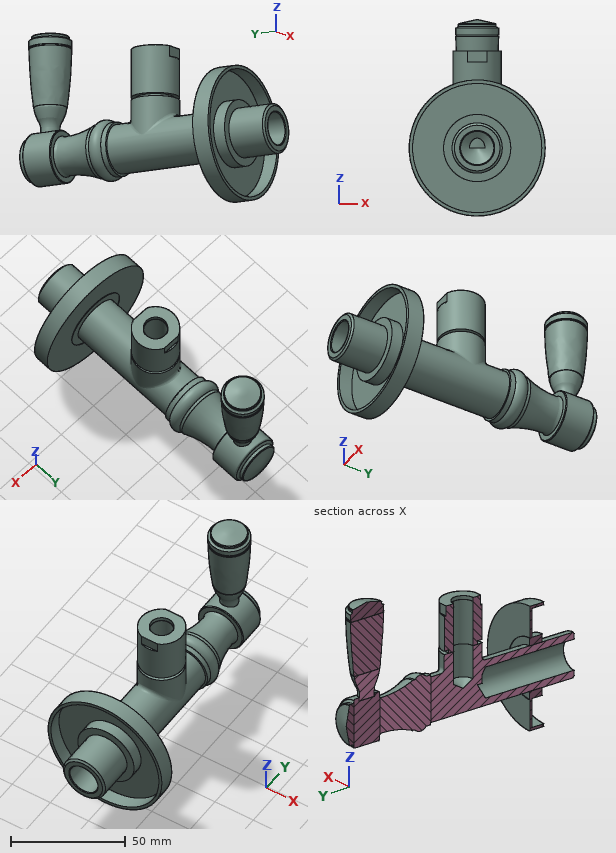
import cadquery as cq
import math


total_length = 128.0
drill_half_angle = math.radians(59)

pipe_radius = 11.0
pipe_length = 80.5
inlet_chamfer_length = 0.8
inlet_chamfer_depth = 1.0
inlet_bore_radius = 7.3
inlet_bore_depth = 49.8
inlet_mouth_chamfer = 0.4
branch_y = 62.3
branch_radius = 10.8
branch_top_z = 19.6
branch_fillet = 1.7

outlet_neck_radius = 8.3
outlet_neck_height = 1.4
outlet_radius = 10.6
outlet_top_z = 42.5
outlet_bore_radius = 5.2
outlet_bore_end_z = 3.8
outlet_mouth_radius = 5.4
outlet_mouth_depth = 1.8
outlet_flat_offset = 9.7
outlet_flat_height = 4.7

rosette_radius = 29.8
rosette_rim_thickness = 1.5
rosette_rear_y = 17.2
rosette_depth = 7.9
rosette_plate_thickness = 1.5
rosette_hub_radius = 14.7
rosette_hub_length = 5.6
rosette_hub_step = 0.3

collar_radius = 12.0
collar_length = 2.5
bead_radius = 13.6
bead_length = 6.3
shoulder_length = 1.4
bell_length = 16.9
bell_large_radius = 11.8
bell_rim_chamfer = 0.5
bell_small_radius = 8.6
cove_length = 1.5
cove_radius = 9.1
cove_sag = 0.3

hub_radius = 11.8
hub_length = 14.3
hub_rim_fillet = 0.6
hub_rear_chamfer = 0.4
hub_cap_radius = 9.9

lever_y = 116.2
stem_radius = 4.2
stem_bottom_z = 10.2
stem_straight_top_z = 13.0
stem_middle_radius = 5.5
stem_middle_z = 17.0
stem_swell_radius = 6.7
stem_swell_z = 19.7
stem_top_radius = 7.2
stem_band_height = 0.9
grip_bottom_z = 22.7
grip_bottom_radius = 7.4
grip_middle_radius = 8.8
grip_top_radius = 9.5
grip_top_z = 48.9
grip_cap_radius = 8.3
ferrule_radius = grip_top_radius
ferrule_height = 3.0
groove_height = 0.6
groove_radius = 9.1
lever_top_z = 56.3

cap_crown_height = 1.8
cap_crown_bevel = 0.4
cap_flare_height = 0.8
cap_flare_sag = 0.3

rosette_front_y = rosette_rear_y + rosette_depth
bead_start_y = pipe_length + collar_length
bead_end_y = bead_start_y + bead_length
bell_start_y = bead_end_y + shoulder_length
bell_end_y = bell_start_y + bell_length
hub_rear_y = bell_end_y + cove_length
hub_front_y = hub_rear_y + hub_length


def cylinder_y(radius, start_y, end_y):
    """Cylinder on the valve axis."""
    return cq.Workplane("XZ", origin=(0, start_y, 0)).circle(radius).extrude(start_y - end_y)


def cylinder_z(radius, y, bottom_z, top_z):
    """Upright cylinder over a point of the valve axis."""
    return cq.Workplane("XY", origin=(0, y, bottom_z)).circle(radius).extrude(top_z - bottom_z)


def revolve_y(profile):
    """Turn a (radius, Y) profile around the valve axis."""
    return profile.close().revolve(360, (0, 0, 0), (0, 1, 0))


def revolve_z(profile, y):
    """Turn a (radius, height) profile around an upright axis over a point of the valve axis."""
    return profile.close().revolve(360, (0, 0, 0), (0, 1, 0)).translate((0, y, 0))


def drill_point_length(radius):
    return radius / math.tan(drill_half_angle)


def outlet_drilling():
    """Drilled outlet passage with a pointed end, running down from the outlet mouth."""
    tip_z = outlet_bore_end_z - drill_point_length(outlet_bore_radius)
    return revolve_z(
        cq.Workplane("XZ")
        .moveTo(0, tip_z)
        .lineTo(outlet_bore_radius, outlet_bore_end_z)
        .lineTo(outlet_bore_radius, outlet_top_z - outlet_mouth_depth)
        .lineTo(outlet_mouth_radius, outlet_top_z - outlet_mouth_depth)
        .lineTo(outlet_mouth_radius, outlet_top_z)
        .lineTo(0, outlet_top_z),
        branch_y,
    )


def inlet_drilling():
    """Drilled inlet passage with a pointed end."""
    tip_y = inlet_bore_depth + drill_point_length(inlet_bore_radius)
    return revolve_y(
        cq.Workplane("XY")
        .lineTo(inlet_bore_radius + inlet_mouth_chamfer, 0)
        .lineTo(inlet_bore_radius, inlet_mouth_chamfer)
        .lineTo(inlet_bore_radius, inlet_bore_depth)
        .lineTo(0, tip_y)
    )


def make_valve_body():
    pipe = revolve_y(
        cq.Workplane("XY")
        .lineTo(pipe_radius - inlet_chamfer_depth, 0)
        .lineTo(pipe_radius, inlet_chamfer_length)
        .lineTo(pipe_radius, pipe_length)
        .lineTo(0, pipe_length)
    )
    branch = cylinder_z(branch_radius, branch_y, 0, branch_top_z)
    tee = pipe.union(branch)
    lower_corner = (-pipe_radius, branch_y - pipe_radius, 0)
    upper_corner = (pipe_radius, branch_y + pipe_radius, pipe_radius + branch_fillet)
    junction = cq.selectors.BoxSelector(lower_corner, upper_corner, boundingbox=True)
    tee = tee.edges(junction).fillet(branch_fillet)
    return tee.cut(inlet_drilling().cut(branch)).cut(outlet_drilling())


def make_outlet():
    shoulder_z = branch_top_z + outlet_neck_height
    neck = cylinder_z(outlet_neck_radius, branch_y, branch_top_z, shoulder_z)
    sleeve = cylinder_z(outlet_radius, branch_y, shoulder_z, outlet_top_z)
    width = 2 * outlet_radius
    for side in (-1, 1):
        flat = cq.Workplane("XY").box(width, width, 2 * outlet_flat_height)
        flat_y = branch_y + side * (outlet_flat_offset + width / 2)
        sleeve = sleeve.cut(flat.translate((0, flat_y, outlet_top_z)))
    return neck.union(sleeve).cut(outlet_drilling())


def make_rosette():
    cup_floor_y = rosette_front_y - rosette_plate_thickness
    cup = cylinder_y(rosette_radius, rosette_rear_y, rosette_front_y)
    recess = cylinder_y(rosette_radius - rosette_rim_thickness, rosette_rear_y, cup_floor_y)
    hub = cylinder_y(
        rosette_hub_radius, cup_floor_y - rosette_hub_length, rosette_front_y + rosette_hub_step
    )
    pipe_hole = cylinder_y(pipe_radius, 0, pipe_length)
    return cup.cut(recess).union(hub).cut(pipe_hole)


def make_bonnet():
    bell_run = bell_length - bell_rim_chamfer
    flare = bell_large_radius - bell_small_radius
    bell_radius = (bell_run**2 + flare**2) / (2 * flare)
    mid_run = bell_run / 2
    mid_rise = bell_radius - math.sqrt(bell_radius**2 - mid_run**2)
    bell_mid = (bell_small_radius + mid_rise, bell_end_y - mid_run)
    cove_mid_radius = bell_small_radius + cove_sag * (cove_radius - bell_small_radius)
    cove_mid = (cove_mid_radius, bell_end_y + cove_length / 2)
    return revolve_y(
        cq.Workplane("XY")
        .moveTo(0, pipe_length)
        .lineTo(collar_radius, pipe_length)
        .lineTo(collar_radius, bead_start_y)
        .threePointArc((bead_radius, bead_start_y + bead_length / 2), (collar_radius, bead_end_y))
        .lineTo(collar_radius, bell_start_y)
        .lineTo(bell_large_radius, bell_start_y + bell_rim_chamfer)
        .threePointArc(bell_mid, (bell_small_radius, bell_end_y))
        .threePointArc(cove_mid, (cove_radius, hub_rear_y))
        .lineTo(0, hub_rear_y)
    )


def make_hub():
    hub = cylinder_y(hub_radius, hub_rear_y, hub_front_y)
    hub = hub.faces(">Y").edges().fillet(hub_rim_fillet)
    hub = hub.faces("<Y").edges().chamfer(hub_rear_chamfer)
    stem_socket = cylinder_z(stem_radius, lever_y, stem_bottom_z, hub_radius)
    return hub.cut(stem_socket)


def cap_outline(profile, crown_radius, foot_radius, foot_height, top_height):
    """Continue a cap outline from its foot: concave flare, short band, bevel and conical crown."""
    band_start = foot_height + cap_flare_height
    crown_base = top_height - cap_crown_height
    flare_middle = (
        crown_radius + cap_flare_sag * (foot_radius - crown_radius),
        foot_height + cap_flare_height / 2,
    )
    return (
        profile.lineTo(foot_radius, foot_height)
        .threePointArc(flare_middle, (crown_radius, band_start))
        .lineTo(crown_radius, crown_base - cap_crown_bevel)
        .lineTo(crown_radius - cap_crown_bevel, crown_base)
        .lineTo(0, top_height)
    )


def make_hub_cap():
    start = cq.Workplane("XY").moveTo(0, hub_front_y)
    foot_radius = hub_radius - hub_rim_fillet
    return revolve_y(cap_outline(start, hub_cap_radius, foot_radius, hub_front_y, total_length))


def make_stem():
    neck_run = stem_middle_z - stem_straight_top_z
    neck_rise = stem_middle_radius - stem_radius
    band_start = (stem_top_radius, grip_bottom_z - stem_band_height)
    return revolve_z(
        cq.Workplane("XZ")
        .moveTo(0, stem_bottom_z)
        .lineTo(stem_radius, stem_bottom_z)
        .lineTo(stem_radius, stem_straight_top_z)
        .tangentArcPoint((neck_rise, neck_run))
        .threePointArc((stem_swell_radius, stem_swell_z), band_start)
        .lineTo(stem_top_radius, grip_bottom_z)
        .lineTo(0, grip_bottom_z),
        lever_y,
    )


def make_grip():
    middle_z = (grip_bottom_z + grip_top_z) / 2
    return revolve_z(
        cq.Workplane("XZ")
        .moveTo(0, grip_bottom_z)
        .lineTo(grip_bottom_radius, grip_bottom_z)
        .threePointArc((grip_middle_radius, middle_z), (grip_top_radius, grip_top_z))
        .lineTo(0, grip_top_z),
        lever_y,
    )


def make_grip_cap():
    ferrule_bottom_z = grip_top_z + groove_height
    start = (
        cq.Workplane("XZ")
        .moveTo(0, grip_top_z)
        .lineTo(groove_radius, grip_top_z)
        .lineTo(groove_radius, ferrule_bottom_z)
        .lineTo(ferrule_radius, ferrule_bottom_z)
    )
    ferrule_top_z = ferrule_bottom_z + ferrule_height
    outline = cap_outline(start, grip_cap_radius, ferrule_radius, ferrule_top_z, lever_top_z)
    return revolve_z(outline, lever_y)


valve_body = make_valve_body()
outlet = make_outlet()
rosette = make_rosette()
bonnet = make_bonnet()
hub = make_hub()
hub_cap = make_hub_cap()
stem = make_stem()
grip = make_grip()
grip_cap = make_grip_cap()

bodies = [valve_body, outlet, rosette, bonnet, hub, hub_cap, stem, grip, grip_cap]
result = cq.Compound.makeCompound([body.solids().val() for body in bodies])